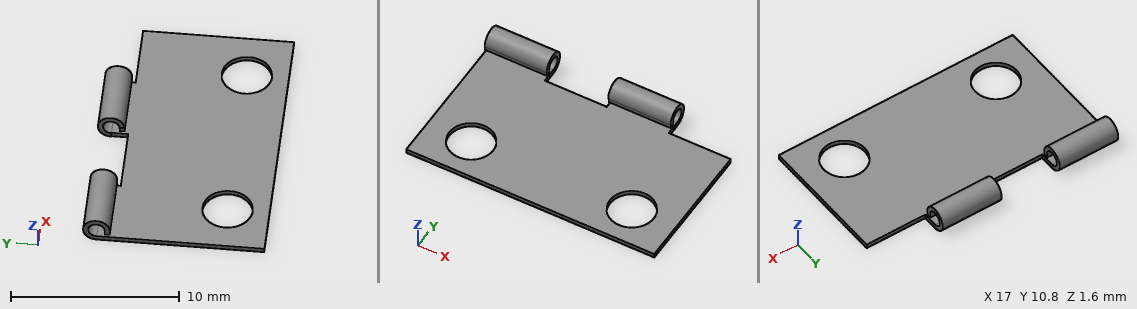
import cadquery as cq

leaf_length = 17.0
leaf_width = 9.0
overall_width = 10.8
sheet_thickness = 0.3

hole_diameter = 3.0
hole_end_distance = 3.0
hole_front_distance = 2.5

curl_outer_radius = 0.8
curl_inner_radius = curl_outer_radius - sheet_thickness
curl_center_y = overall_width - curl_outer_radius
curl_center_z = curl_outer_radius
lip_outer_length = 0.27
lip_inner_length = 0.32
knuckle_length = leaf_length / 4
end_knuckle_start = 0
inner_knuckle_start = 2 * knuckle_length
inner_roll_overhang = 0.03


def make_leaf():
    plate = cq.Workplane("XY").box(leaf_length, leaf_width, sheet_thickness, centered=False)
    hole_centers = [
        (hole_end_distance, hole_front_distance),
        (leaf_length - hole_end_distance, hole_front_distance),
    ]
    holes = (
        cq.Workplane("XY")
        .pushPoints(hole_centers)
        .circle(hole_diameter / 2)
        .extrude(sheet_thickness)
    )
    return plate.cut(holes)


def make_neck(start_x):
    return (
        cq.Workplane("XY", origin=(start_x, leaf_width, 0))
        .box(knuckle_length, curl_center_y - leaf_width, sheet_thickness, centered=False)
    )


def make_roll(start_x, length):
    lip_outer_y = curl_center_y - curl_outer_radius
    lip_inner_y = curl_center_y - curl_inner_radius
    return (
        cq.Workplane("YZ", origin=(start_x, 0, 0))
        .moveTo(curl_center_y, 0)
        .threePointArc(
            (curl_center_y + curl_outer_radius, curl_center_z),
            (curl_center_y, curl_center_z + curl_outer_radius),
        )
        .radiusArc((lip_outer_y, curl_center_z), -curl_outer_radius)
        .lineTo(lip_inner_y, curl_center_z)
        .radiusArc((curl_center_y, curl_center_z + curl_inner_radius), curl_inner_radius)
        .threePointArc(
            (curl_center_y + curl_inner_radius, curl_center_z),
            (curl_center_y, sheet_thickness),
        )
        .close()
        .extrude(length)
    )


def make_lip(start_x):
    lip_outer_y = curl_center_y - curl_outer_radius
    lip_inner_y = curl_center_y - curl_inner_radius
    lip_outline = [
        (lip_outer_y, curl_center_z),
        (lip_outer_y, curl_center_z - lip_outer_length),
        (lip_inner_y, curl_center_z - lip_inner_length),
        (lip_inner_y, curl_center_z),
    ]
    return (
        cq.Workplane("YZ", origin=(start_x, 0, 0))
        .polyline(lip_outline)
        .close()
        .extrude(knuckle_length)
    )


def make_knuckle(start_x, roll_overhang):
    roll = make_roll(start_x - roll_overhang, knuckle_length + roll_overhang)
    return roll.union(make_neck(start_x)).union(make_lip(start_x))


end_knuckle = make_knuckle(end_knuckle_start, 0)
inner_knuckle = make_knuckle(inner_knuckle_start, inner_roll_overhang)
result = make_leaf().union(end_knuckle).union(inner_knuckle)